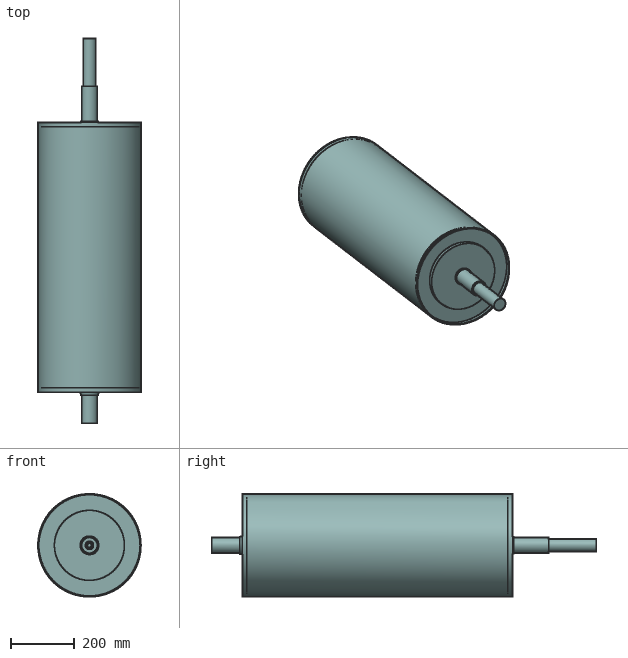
import cadquery as cq

total_length = 1210.0
drum_diameter = 324.0

drum_length = 850.0
front_shaft_length = 97.0
thin_shaft_length = 150.0

recess_diameter = 318.0
recess_depth = 15.0
hub_diameter = 220.0

shaft_diameter = 50.0
thin_shaft_diameter = 40.0
collar_diameter = 55.0
front_collar_projection = 8.0
back_collar_projection = 4.0
front_collar_base_diameter = 58.0

countersink_diameter = 25.0
countersink_depth = 4.0
counterbore_diameter = 17.0
counterbore_depth = 10.0
centre_hole_diameter = 13.0
centre_hole_depth = 30.0

front_end = -total_length / 2
back_end = total_length / 2
drum_front = front_end + front_shaft_length
drum_back = drum_front + drum_length
shaft_step = back_end - thin_shaft_length


def cylinder(diameter, start, end):
    """Solid cylinder on the Y axis between two positions."""
    sketch = cq.Workplane("XZ", origin=(0, start, 0)).circle(diameter / 2)
    return sketch.extrude(start - end)


def cone(start_diameter, end_diameter, start, end):
    """Solid truncated cone on the Y axis between two positions."""
    base = cq.Workplane("XZ", origin=(0, start, 0)).circle(start_diameter / 2)
    return base.workplane(offset=start - end).circle(end_diameter / 2).loft()


def drum():
    body = cylinder(drum_diameter, drum_front, drum_back)
    floor_front = drum_front + recess_depth
    floor_back = drum_back - recess_depth
    body = body.cut(cylinder(recess_diameter, drum_front, floor_front))
    body = body.cut(cylinder(recess_diameter, floor_back, drum_back))
    return body.union(cylinder(hub_diameter, drum_front, drum_back))


def shaft():
    main = cylinder(shaft_diameter, front_end, shaft_step)
    thin = cylinder(thin_shaft_diameter, shaft_step, back_end)
    front_collar = cone(
        collar_diameter, front_collar_base_diameter, drum_front - front_collar_projection, drum_front
    )
    back_collar = cylinder(collar_diameter, drum_back, drum_back + back_collar_projection)
    return main.union(thin).union(front_collar).union(back_collar)


def centre_hole():
    countersink = cone(
        countersink_diameter, counterbore_diameter, front_end, front_end + countersink_depth
    )
    counterbore = cylinder(counterbore_diameter, front_end, front_end + counterbore_depth)
    bore = cylinder(centre_hole_diameter, front_end, front_end + centre_hole_depth)
    return countersink.union(counterbore).union(bore)


result = drum().union(shaft()).cut(centre_hole())